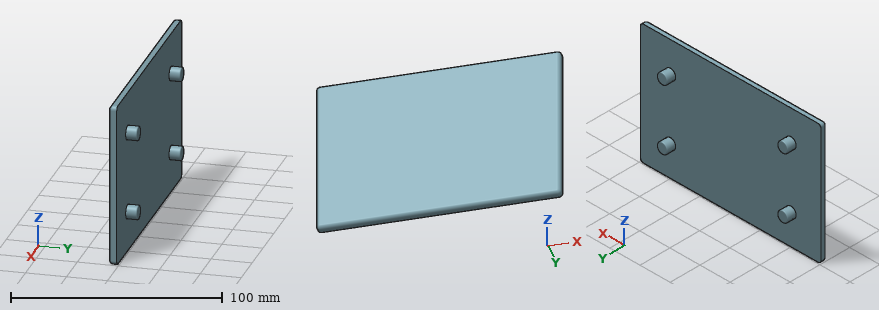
import cadquery as cq

plate_length = 120.0
plate_height = 80.0
plate_thickness = 4.0
edge_radius = 2.0

total_depth = 9.5
peg_diameter = 7.0
peg_spacing_x = 80.0
peg_spacing_z = 40.0
peg_edge_radius = 0.5
peg_length = total_depth - plate_thickness


def make_plate():
    """Plate with its front face on Y = 0, rounded at the corners and front rim."""
    plate = cq.Workplane("XY").box(
        plate_length, plate_thickness, plate_height, centered=(True, False, True)
    )
    plate = plate.edges("|Y").fillet(edge_radius)
    return plate.faces("<Y").edges().fillet(edge_radius)


def add_pegs(plate):
    """Pegs standing on the back face, each with a rounded tip."""
    pegs = (
        cq.Workplane("XZ", origin=(0, plate_thickness, 0))
        .rarray(peg_spacing_x, peg_spacing_z, 2, 2)
        .circle(peg_diameter / 2)
        .extrude(-peg_length)
    )
    pegs = pegs.faces(">Y").edges().fillet(peg_edge_radius)
    return plate.union(pegs)


result = add_pegs(make_plate())